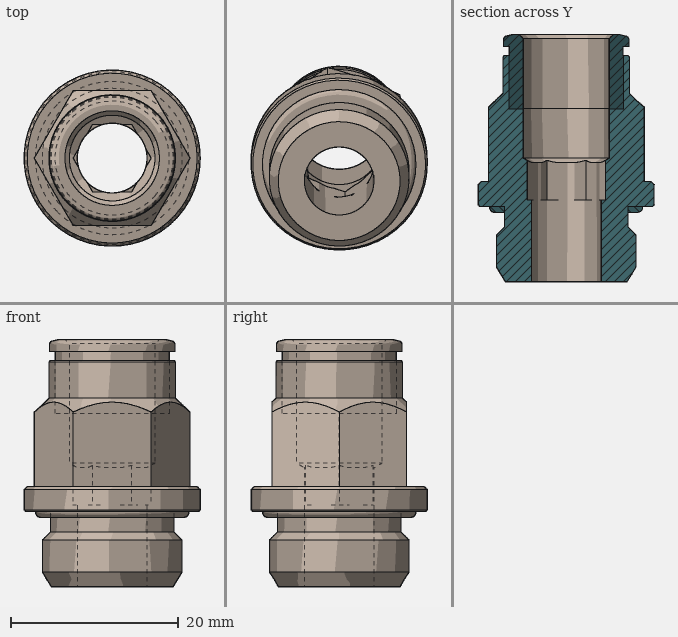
import cadquery as cq
import math


thread_diameter = 16.67
thread_tip_diameter = 14.5
thread_tip_height = 1.77
thread_shoulder_z = 5.58
neck_diameter = 14.75
neck_bottom_z = thread_shoulder_z + (thread_diameter - neck_diameter) / 2

flange_diameter = 21.0
flange_bottom_z = 8.97
flange_top_z = 11.98
flange_top_chamfer = 0.38
flange_bottom_chamfer = 0.2

seal_diameter = 18.3
seal_height = 0.7
seal_rounding = 0.65

hex_across_flats = 16.08
hex_across_corners = hex_across_flats / math.cos(math.radians(30))
hex_cone_height = 1.65
hex_top_z = 22.48

socket_diameter = 15.1
socket_top_z = 27.0
socket_chamfer = 0.18

collar_head_diameter = 15.0
collar_head_bottom_z = 28.02
collar_top_z = 29.5
collar_sleeve_diameter = 13.6
collar_bottom_z = 20.65
collar_edge_radius = 0.47
collar_slope_outer_diameter = collar_head_diameter - 2 * collar_edge_radius
collar_slope_inner_diameter = 12.65
collar_slope_drop = 0.18
collar_entry_chamfer = 0.53

tube_diameter = 10.2
tube_seat_z = 14.75
passage_diameter = 8.3
seat_slope_angle = 30
seat_cone_height = (tube_diameter - passage_diameter) / 2 * math.tan(math.radians(seat_slope_angle))
key_across_flats = 8.05
key_across_corners = key_across_flats / math.cos(math.radians(30))
key_depth = 4.42


def cylinder(diameter, bottom_z, top_z):
    return cq.Workplane("XY").workplane(offset=bottom_z).circle(diameter / 2).extrude(top_z - bottom_z)


def hexagon(across_corners, bottom_z, top_z):
    return cq.Workplane("XY").workplane(offset=bottom_z).polygon(6, across_corners).extrude(top_z - bottom_z)


def cone(bottom_diameter, top_diameter, bottom_z, top_z):
    return (
        cq.Workplane("XY").workplane(offset=bottom_z).circle(bottom_diameter / 2)
        .workplane(offset=top_z - bottom_z).circle(top_diameter / 2)
        .loft(ruled=True)
    )


def make_threaded_end():
    tip = cone(thread_tip_diameter, thread_diameter, 0, thread_tip_height)
    thread = cylinder(thread_diameter, thread_tip_height, thread_shoulder_z)
    shoulder = cone(thread_diameter, neck_diameter, thread_shoulder_z, neck_bottom_z)
    neck = cylinder(neck_diameter, neck_bottom_z, flange_bottom_z)
    return tip.union(thread).union(shoulder).union(neck)


def make_flange():
    flange = cylinder(flange_diameter, flange_bottom_z, flange_top_z)
    flange = flange.faces(">Z").edges().chamfer(flange_top_chamfer)
    return flange.faces("<Z").edges().chamfer(flange_bottom_chamfer)


def make_wrench_hexagon():
    """Hexagon whose upper corners are turned down to the socket by a cone."""
    cone_bottom_z = hex_top_z - hex_cone_height
    turned_blank = cylinder(hex_across_corners, flange_top_z, cone_bottom_z).union(
        cone(hex_across_corners, socket_diameter, cone_bottom_z, hex_top_z)
    )
    return hexagon(hex_across_corners, flange_top_z, hex_top_z).intersect(turned_blank)


def make_socket():
    socket = cylinder(socket_diameter, hex_top_z, socket_top_z)
    return socket.faces(">Z").edges().chamfer(socket_chamfer)


def make_inner_passage():
    """Space removed from the housing: collar recess, tube seat, hexagonal key and through bore."""
    seat_bottom_z = tube_seat_z - seat_cone_height
    collar_recess = cylinder(collar_sleeve_diameter, collar_bottom_z, socket_top_z)
    tube_bore = cylinder(tube_diameter, tube_seat_z, collar_bottom_z)
    seat = cone(passage_diameter, tube_diameter, seat_bottom_z, tube_seat_z)
    key = hexagon(key_across_corners, seat_bottom_z - key_depth, tube_seat_z)
    bore = cylinder(passage_diameter, 0, tube_seat_z)
    return collar_recess.union(tube_bore).union(seat).union(key).union(bore)


def make_housing():
    outside = make_threaded_end().union(make_flange()).union(make_wrench_hexagon()).union(make_socket())
    return outside.cut(make_inner_passage())


def make_seal():
    seal_bottom_z = flange_bottom_z - seal_height
    seal = cylinder(seal_diameter, seal_bottom_z, flange_bottom_z)
    seal = seal.faces("<Z").edges().fillet(seal_rounding)
    return seal.cut(cylinder(neck_diameter, seal_bottom_z, flange_bottom_z))


def make_collar():
    """Headed sleeve with a gently sloped top and a chamfered tube entry."""
    slope_bottom_z = collar_top_z - collar_slope_drop
    head = cylinder(collar_head_diameter, collar_head_bottom_z, slope_bottom_z)
    head = head.faces(">Z").edges().fillet(collar_edge_radius)
    slope = cone(collar_slope_outer_diameter, collar_slope_inner_diameter, slope_bottom_z, collar_top_z)
    sleeve = cylinder(collar_sleeve_diameter, collar_bottom_z, collar_head_bottom_z)
    tube_bore = cylinder(tube_diameter, collar_bottom_z, collar_top_z)
    entry = cone(
        tube_diameter,
        tube_diameter + 2 * collar_entry_chamfer,
        collar_top_z - collar_entry_chamfer,
        collar_top_z,
    )
    return head.union(slope).union(sleeve).cut(tube_bore).cut(entry)


housing = make_housing()
seal = make_seal()
collar = make_collar()

result = cq.Compound.makeCompound([body.solids().val() for body in (housing, seal, collar)])